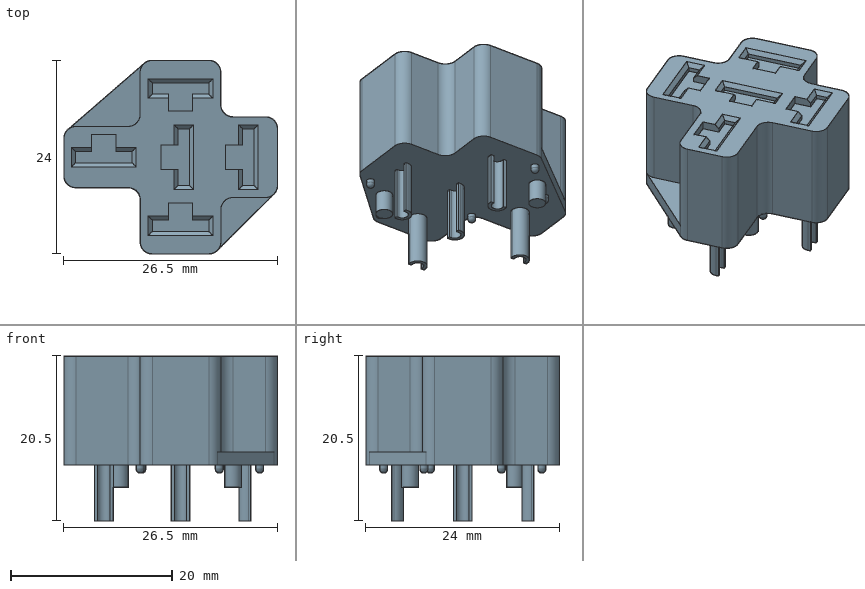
import cadquery as cq
import math

BODY_HEIGHT = 13.5
SPINE_HALF_WIDTH = 5.0
SPINE_HALF_LENGTH = 12.0
RIGHT_ARM_END = 12.03
RIGHT_ARM_HALF_WIDTH = 5.0
LEFT_ARM_END = -14.46
LEFT_ARM_HALF_WIDTH = 3.8
CORNER_RADIUS = 1.5

WEB_THICKNESS = 1.6

SLOT_LENGTH = 8.0
SLOT_WIDTH = 2.4
SLOT_LEAD_IN = 0.5
SLOT_LEAD_IN_DEPTH = 0.5
SLOT_DEPTH = 1.0
TONGUE_WIDTH = 3.0
TONGUE_REACH = 2.8

PIN_LENGTH = 6.95
PIN_OUTER_RADIUS = 1.17
PIN_INNER_RADIUS = 0.75
PIN_LEG_LENGTH = 0.3

TERMINAL_OFFSET_Y = 8.5
CENTRE_TERMINAL_X = 0.4
TERMINAL_PITCH_X = 8.0
RIGHT_TERMINAL_X = CENTRE_TERMINAL_X + TERMINAL_PITCH_X
LEFT_TERMINAL_X = -9.5
TERMINALS = [
    (0, TERMINAL_OFFSET_Y, -90),
    (0, -TERMINAL_OFFSET_Y, 90),
    (LEFT_TERMINAL_X, 0, 90),
    (CENTRE_TERMINAL_X, 0, 180),
    (RIGHT_TERMINAL_X, 0, 180),
]

POST_RADIUS = 1.05
POST_LENGTH = 2.75
POST_CENTRES = [(-7.5, 6.5), (6.5, -6.5)]

NUB_RADIUS = 0.5
NUB_LENGTH = 1.0
NUB_NEAR = 4.8
NUB_FAR = 9.8
LONE_NUB = (-5.0, -4.0)
NUB_CENTRES = [
    (-NUB_NEAR, NUB_FAR),
    (-NUB_FAR, NUB_NEAR),
    (NUB_NEAR, -NUB_FAR),
    (NUB_FAR, -NUB_NEAR),
    LONE_NUB,
]


def box_between(x_min, x_max, y_min, y_max, height):
    """Box on Z = 0 spanning the given X and Y limits."""
    size_x = x_max - x_min
    size_y = y_max - y_min
    box = cq.Workplane("XY").box(size_x, size_y, height, centered=False)
    return box.translate((x_min, y_min, 0))


def make_housing():
    """Cross of three arms with every vertical corner rounded."""
    spine = box_between(
        -SPINE_HALF_WIDTH, SPINE_HALF_WIDTH, -SPINE_HALF_LENGTH, SPINE_HALF_LENGTH, BODY_HEIGHT
    )
    right_arm = box_between(0, RIGHT_ARM_END, -RIGHT_ARM_HALF_WIDTH, RIGHT_ARM_HALF_WIDTH, BODY_HEIGHT)
    left_arm = box_between(LEFT_ARM_END, 0, -LEFT_ARM_HALF_WIDTH, LEFT_ARM_HALF_WIDTH, BODY_HEIGHT)
    cross = spine.union(right_arm).union(left_arm).clean()
    return cross.edges("|Z").fillet(CORNER_RADIUS)


def make_web(first_corner, second_corner):
    """Plate from the housing centre out to the tangent of two corner rounds.

    The corners are the round centres, taken counterclockwise about the housing centre.
    """
    run_x = second_corner[0] - first_corner[0]
    run_y = second_corner[1] - first_corner[1]
    run = math.hypot(run_x, run_y)
    offset_x = CORNER_RADIUS * run_y / run
    offset_y = -CORNER_RADIUS * run_x / run
    outline = [
        (0, 0),
        first_corner,
        (first_corner[0] + offset_x, first_corner[1] + offset_y),
        (second_corner[0] + offset_x, second_corner[1] + offset_y),
        second_corner,
    ]
    return cq.Workplane("XY").polyline(outline).close().extrude(WEB_THICKNESS)


def place_at_terminal(shape, terminal):
    """Turn a shape modelled with its tongue along +X and move it to a terminal."""
    x, y, angle = terminal
    return shape.rotate((0, 0, 0), (0, 0, 1), angle).translate((x, y, 0))


def make_slot():
    """T-shaped slot cutter: a tapered mouth, a straight pocket and a side tongue."""
    floor_width = SLOT_WIDTH - 2 * SLOT_LEAD_IN
    floor_length = SLOT_LENGTH - 2 * SLOT_LEAD_IN
    floor_z = BODY_HEIGHT - SLOT_DEPTH
    mouth = (
        cq.Workplane("XY", origin=(0, 0, BODY_HEIGHT))
        .rect(SLOT_WIDTH, SLOT_LENGTH)
        .workplane(offset=-SLOT_LEAD_IN_DEPTH)
        .rect(floor_width, floor_length)
        .loft(ruled=True)
    )
    pocket = cq.Workplane("XY", origin=(0, 0, floor_z)).rect(floor_width, floor_length).extrude(SLOT_DEPTH)
    tongue = box_between(0, TONGUE_REACH, -TONGUE_WIDTH / 2, TONGUE_WIDTH / 2, SLOT_DEPTH)
    return mouth.union(pocket).union(tongue.translate((0, 0, floor_z)))


def make_pin():
    """U-shaped channel hanging from Z = 0, rounded towards +X and open towards -X."""
    return (
        cq.Workplane("XY")
        .moveTo(-PIN_LEG_LENGTH, -PIN_OUTER_RADIUS)
        .lineTo(0, -PIN_OUTER_RADIUS)
        .threePointArc((PIN_OUTER_RADIUS, 0), (0, PIN_OUTER_RADIUS))
        .lineTo(-PIN_LEG_LENGTH, PIN_OUTER_RADIUS)
        .lineTo(-PIN_LEG_LENGTH, PIN_INNER_RADIUS)
        .lineTo(0, PIN_INNER_RADIUS)
        .threePointArc((PIN_INNER_RADIUS, 0), (0, -PIN_INNER_RADIUS))
        .lineTo(-PIN_LEG_LENGTH, -PIN_INNER_RADIUS)
        .close()
        .extrude(-PIN_LENGTH)
    )


def make_posts():
    """Plain cylinders below the gussets."""
    return cq.Workplane("XY").pushPoints(POST_CENTRES).circle(POST_RADIUS).extrude(-POST_LENGTH)


def make_nub():
    """Short cylinder ending in a half ball."""
    dome_z = NUB_RADIUS - NUB_LENGTH
    shank = cq.Workplane("XY").circle(NUB_RADIUS).extrude(dome_z)
    ball = cq.Workplane("XY").sphere(NUB_RADIUS).translate((0, 0, dome_z))
    return shank.union(ball)


spine_round_x = SPINE_HALF_WIDTH - CORNER_RADIUS
spine_round_y = SPINE_HALF_LENGTH - CORNER_RADIUS
right_round = (RIGHT_ARM_END - CORNER_RADIUS, CORNER_RADIUS - RIGHT_ARM_HALF_WIDTH)
left_round = (LEFT_ARM_END + CORNER_RADIUS, LEFT_ARM_HALF_WIDTH - CORNER_RADIUS)

result = make_housing()
result = result.union(make_web((-spine_round_x, spine_round_y), left_round))
result = result.union(make_web((spine_round_x, -spine_round_y), right_round))

for terminal in TERMINALS:
    result = result.cut(place_at_terminal(make_slot(), terminal))
    result = result.union(place_at_terminal(make_pin(), terminal))

result = result.union(make_posts())
for x, y in NUB_CENTRES:
    result = result.union(make_nub().translate((x, y, 0)))